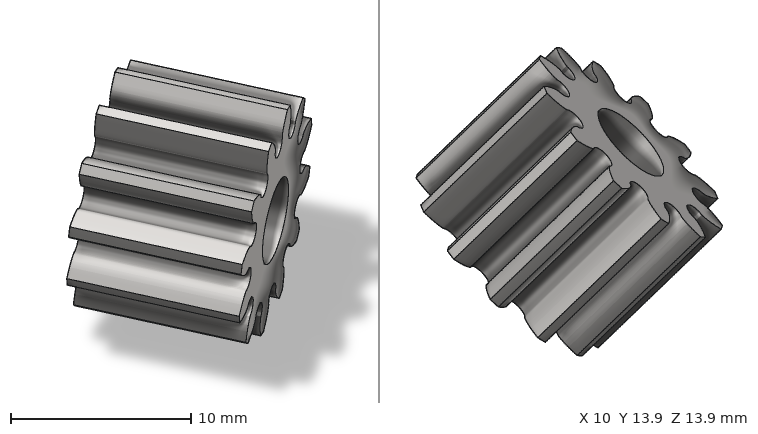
import cadquery as cq
import math

face_width = 10.0
bore_diameter = 5.0
tooth_count = 12
tip_radius = 7.001
pressure_angle = math.radians(20)
roll_step = math.radians(8)
flank_faces = 5
root_center_radius = 5.39
root_groove_radius = 0.68

module = 2 * tip_radius / (tooth_count + 2)
pitch_radius = module * tooth_count / 2
base_radius = pitch_radius * math.cos(pressure_angle)
tooth_pitch = 2 * math.pi / tooth_count
tip_roll = math.sqrt((tip_radius / base_radius) ** 2 - 1)
base_half_angle = tooth_pitch / 4 + math.tan(pressure_angle) - pressure_angle

first_tooth_angle = base_half_angle


def polar(radius, angle):
    """Point in the YZ plane, at an angle measured from +Y toward +Z."""
    return (radius * math.cos(angle), radius * math.sin(angle))


def flank_point(roll, tooth_angle, side):
    """Point on an involute flank; side is -1 or +1 about the tooth centre line."""
    half_angle = base_half_angle - (roll - math.atan(roll))
    radius = base_radius * math.hypot(1, roll)
    return polar(radius, tooth_angle + side * half_angle)


def add_flank(outline, rolls, tooth_angle, side):
    """Follow one flank through the given rolls with one arc per face."""
    for start, end in zip(rolls, rolls[1:]):
        middle = flank_point((start + end) / 2, tooth_angle, side)
        outline = outline.threePointArc(middle, flank_point(end, tooth_angle, side))
    return outline


def add_root_groove(outline, gap_angle):
    """Add a half-round groove bottom and the short straight wall on each side."""
    center_y, center_z = polar(root_center_radius, gap_angle)
    across_y, across_z = polar(root_groove_radius, gap_angle + math.pi / 2)
    groove_start = (center_y - across_y, center_z - across_z)
    groove_bottom = polar(root_center_radius - root_groove_radius, gap_angle)
    groove_end = (center_y + across_y, center_z + across_z)
    next_tooth_foot = flank_point(0, gap_angle + tooth_pitch / 2, -1)
    outline = outline.lineTo(*groove_start)
    outline = outline.threePointArc(groove_bottom, groove_end)
    return outline.lineTo(*next_tooth_foot)


def gear_outline():
    """Closed outline of all teeth and the root grooves between them."""
    rising_rolls = [roll_step * i for i in range(flank_faces)] + [tip_roll]
    falling_rolls = rising_rolls[::-1]
    outline = cq.Workplane("YZ").moveTo(*flank_point(0, first_tooth_angle, -1))
    for i in range(tooth_count):
        tooth_angle = first_tooth_angle + i * tooth_pitch
        tip_middle = polar(tip_radius, tooth_angle)
        tip_end = flank_point(tip_roll, tooth_angle, 1)
        outline = add_flank(outline, rising_rolls, tooth_angle, -1)
        outline = outline.threePointArc(tip_middle, tip_end)
        outline = add_flank(outline, falling_rolls, tooth_angle, 1)
        outline = add_root_groove(outline, tooth_angle + tooth_pitch / 2)
    return outline.close()


gear = gear_outline().extrude(face_width / 2, both=True)
bore = cq.Workplane("YZ").circle(bore_diameter / 2).extrude(face_width / 2, both=True)
result = gear.cut(bore)